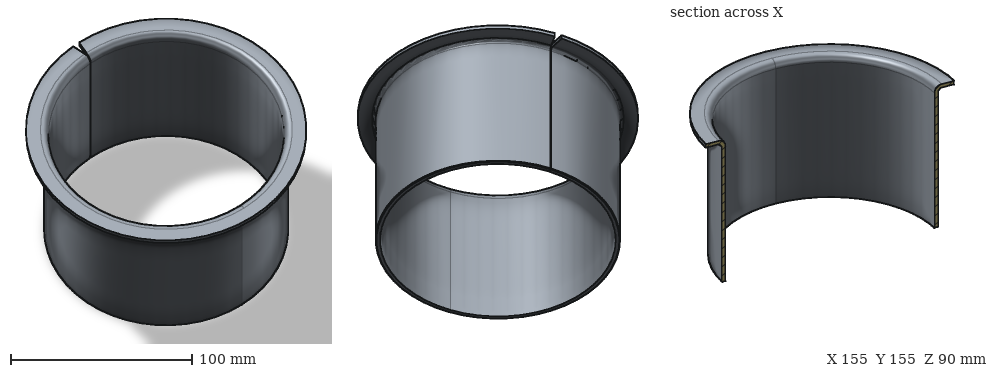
import cadquery as cq

flange_radius = 77.5
height = 90.0
wall = 2.5
body_radius = 67.6
bend_radius = 2.0
foot_chamfer = 0.5
split_width = 0.5
rim_gap = 4.2
split_angle = 1.8

bore_radius = body_radius - wall
mouth_radius = bend_radius + wall
bend_center_radius = body_radius + bend_radius
bend_start = height - mouth_radius
flange_bottom = height - wall


def make_sleeve():
    """Revolve the wall profile: a straight sleeve bent outward into the flange."""
    profile = (
        cq.Workplane("XZ")
        .moveTo(bore_radius, 0)
        .lineTo(body_radius - foot_chamfer, 0)
        .lineTo(body_radius, foot_chamfer)
        .lineTo(body_radius, bend_start)
        .radiusArc((bend_center_radius, flange_bottom), bend_radius)
        .lineTo(flange_radius, flange_bottom)
        .lineTo(flange_radius, height)
        .lineTo(bend_center_radius, height)
        .radiusArc((bore_radius, bend_start), -mouth_radius)
        .close()
    )
    return profile.revolve(360, (0, 0, 0), (0, 1, 0))


def make_split():
    """Narrow slit through the wall that widens linearly across the flange."""
    slit_start = bore_radius - wall
    slit_end = flange_radius + wall
    flare = (rim_gap - split_width) / 2 / (flange_radius - body_radius)
    half_slit = split_width / 2
    half_end = half_slit + flare * (slit_end - body_radius)
    return (
        cq.Workplane("XY")
        .polyline([
            (-slit_start, -half_slit),
            (-body_radius, -half_slit),
            (-slit_end, -half_end),
            (-slit_end, half_end),
            (-body_radius, half_slit),
            (-slit_start, half_slit),
        ])
        .close()
        .extrude(height)
        .rotate((0, 0, 0), (0, 0, 1), split_angle)
    )


result = make_sleeve().cut(make_split())